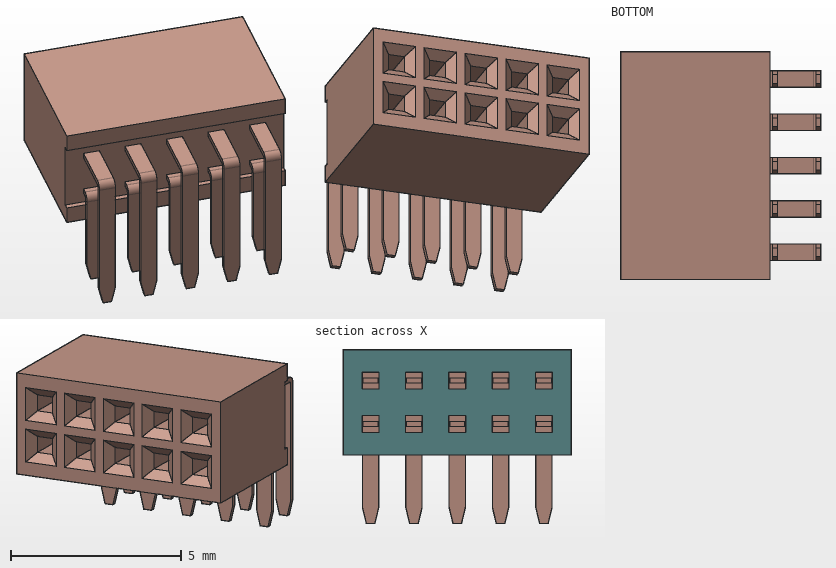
import cadquery as cq

columns = 5
pitch = 1.27
body_length = 4.395
body_width = 6.7
body_height = 3.1
overall_length = 5.89
overall_height = 5.12

recess_depth = 0.16
lip_height = 0.52

mouth_size = 1.005
socket_size = 0.49
lead_in_depth = (mouth_size - socket_size) / 2
socket_depth = 3.015
shelf_thickness = 0.27

pin_width = 0.49
pin_thickness = 0.15
bend_outer_radius = 0.215
bend_inner_radius = bend_outer_radius - pin_thickness
tip_length = 0.49
tip_width = 0.255
contact_width = 0.435
contact_length = 0.135

recess_x = body_length - recess_depth
pin_bottom = body_height / 2 - overall_height
column_positions = [(i - (columns - 1) / 2) * pitch for i in range(columns)]
lower_row = -pitch / 2
upper_row = pitch / 2
rows = [
    (lower_row, -1, overall_length - pitch),
    (upper_row, 1, overall_length),
]


def box(x_start, x_end, y_size, z_size, y_center, z_center):
    """Block between two X stations, centred at the given Y and Z."""
    return cq.Workplane("XY").box(
        x_end - x_start, y_size, z_size, centered=(False, True, True)
    ).translate((x_start, y_center, z_center))


def make_body():
    block = box(0, body_length, body_width, body_height, 0, 0)
    recess_height = body_height - 2 * lip_height
    return block.cut(box(recess_x, body_length, body_width, recess_height, 0, 0))


def make_socket(y, z, outward):
    """Cavity with a tapered lead-in and a stepped floor."""
    lead_in = (
        cq.Workplane("YZ")
        .center(y, z)
        .rect(mouth_size, mouth_size)
        .workplane(offset=lead_in_depth)
        .rect(socket_size, socket_size)
        .loft(ruled=True)
    )
    cavity = box(0, socket_depth, socket_size, socket_size, y, z)
    shelf_height = (socket_size - pin_thickness) / 2
    shelf_z = z + outward * (pin_thickness + shelf_height) / 2
    shelf = box(socket_depth - shelf_thickness, socket_depth, socket_size, shelf_height, y, shelf_z)
    return lead_in.union(cavity).cut(shelf)


def make_pin(y, z, leg_x):
    """Flat strip running back from the socket floor and bent down to a tapered tip."""
    top = z + pin_thickness / 2
    strip = (
        cq.Workplane("XZ")
        .moveTo(socket_depth, top)
        .lineTo(leg_x - bend_outer_radius, top)
        .radiusArc((leg_x, top - bend_outer_radius), bend_outer_radius)
        .lineTo(leg_x, pin_bottom)
        .lineTo(leg_x - pin_thickness, pin_bottom)
        .lineTo(leg_x - pin_thickness, top - bend_outer_radius)
        .radiusArc((leg_x - bend_outer_radius, top - pin_thickness), -bend_inner_radius)
        .lineTo(socket_depth, top - pin_thickness)
        .close()
        .extrude(pin_width / 2, both=True)
    )
    outline = (
        cq.Workplane("YZ")
        .moveTo(-tip_width / 2, pin_bottom)
        .lineTo(tip_width / 2, pin_bottom)
        .lineTo(pin_width / 2, pin_bottom + tip_length)
        .lineTo(pin_width / 2, top)
        .lineTo(-pin_width / 2, top)
        .lineTo(-pin_width / 2, pin_bottom + tip_length)
        .close()
        .extrude(overall_length)
    )
    pin = strip.intersect(outline).translate((0, y, 0))
    contact = box(socket_depth - contact_length, socket_depth, contact_width, pin_thickness, y, z)
    return pin.union(contact)


result = make_body()
for row_z, outward, leg_x in rows:
    for column_y in column_positions:
        result = result.cut(make_socket(column_y, row_z, outward))
        result = result.union(make_pin(column_y, row_z, leg_x))